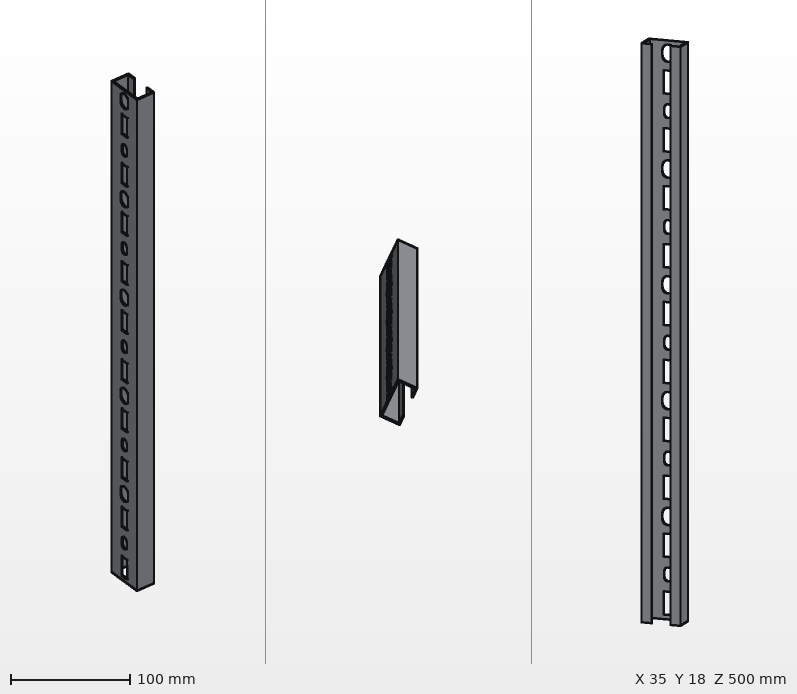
import cadquery as cq

WIDTH = 35.0
DEPTH = 18.0
LENGTH = 500.0
THICKNESS = 1.2
MOUTH_WIDTH = 17.0

PITCH = 25.0
FIRST_OPENING_FROM_TOP = 11.0
LARGE_SLOT = (10.5, 15.0)
SMALL_SLOT = (7.0, 12.0)
RECTANGLE = (8.0, 20.0)
OPENING_COUNT = int(LENGTH // PITCH)

CUT_DEPTH = 2 * THICKNESS
WEB_FACE = -DEPTH / 2


def make_rail():
    """C-section with two inward lips, centred on the origin."""
    outer = cq.Workplane("XY").box(WIDTH, DEPTH, LENGTH)
    cavity = cq.Workplane("XY").box(WIDTH - 2 * THICKNESS, DEPTH - 2 * THICKNESS, LENGTH)
    mouth = cq.Workplane("XY").box(MOUTH_WIDTH, DEPTH / 2, LENGTH).translate((0, DEPTH / 4, 0))
    return outer.cut(cavity).cut(mouth)


def web_workplane(z):
    """Sketch plane on the outer web face, with its normal pointing to -Y."""
    return cq.Workplane("XZ", origin=(0, WEB_FACE, z))


def rounded_slot(size, z):
    width, height = size
    return web_workplane(z).slot2D(height, width, 90).extrude(-CUT_DEPTH)


def rectangular_slot(size, z):
    width, height = size
    return web_workplane(z).rect(width, height).extrude(-CUT_DEPTH)


def perforate(rail):
    """Repeat large slot, rectangle, small slot, rectangle down the web."""
    pattern = [
        (rounded_slot, LARGE_SLOT),
        (rectangular_slot, RECTANGLE),
        (rounded_slot, SMALL_SLOT),
        (rectangular_slot, RECTANGLE),
    ]
    top_opening_z = LENGTH / 2 - FIRST_OPENING_FROM_TOP
    for index in range(OPENING_COUNT):
        make_opening, size = pattern[index % len(pattern)]
        rail = rail.cut(make_opening(size, top_opening_z - index * PITCH))
    return rail


result = perforate(make_rail())